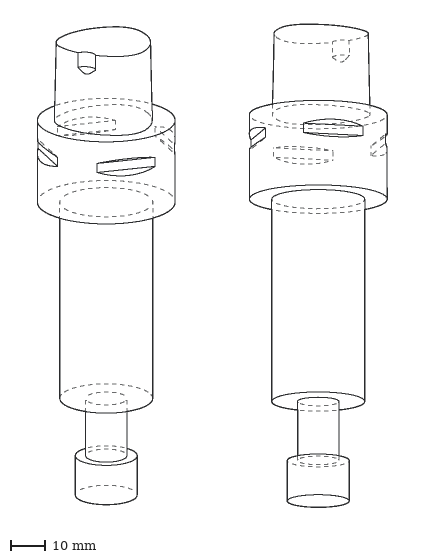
import cadquery as cq
import math

head_diameter, head_length = 18.0, 12.0
neck_diameter, neck_length = 12.0, 17.5
body_diameter, body_length = 27.0, 60.0
collar_diameter, collar_length = 40.0, 25.0

total_length = 138.5
lobe_centre_radius = 6.3
lobe_radius = 8.7
shank_base_height = 2.5
shank_taper = 1.25

notch_diameter = 6.5
notch_offset = 14.3
notch_depth = 4.5
notch_tip_depth = 2.6

slot_floor_distance = 17.94
slot_floor_height = 2.8
slot_wall_angle = 30.0
slot_drop = 8.0

neck_z = head_length
body_z = neck_z + neck_length
collar_z = body_z + body_length
collar_top = collar_z + collar_length


def cylinder(diameter, length, z):
    return cq.Workplane("XY").workplane(offset=z).circle(diameter / 2).extrude(length)


def polar(radius, angle):
    return radius * math.cos(math.radians(angle)), radius * math.sin(math.radians(angle))


def lobe_point(lobe_angle, normal_angle):
    """Point on a lobe's arc where the outward normal has the given angle."""
    centre_x, centre_y = polar(lobe_centre_radius, lobe_angle)
    offset_x, offset_y = polar(lobe_radius, normal_angle)
    return centre_x + offset_x, centre_y + offset_y


def shank_outline(z):
    """Three lobe arcs joined tangentially by three flatter flank arcs."""
    half_lobe, lobe_step = 30, 120
    flank_middle_radius = (math.sqrt(3) - 1) * lobe_centre_radius + lobe_radius
    first_lobe = 90
    outline = cq.Workplane("XY").workplane(offset=z).moveTo(*lobe_point(first_lobe, first_lobe - half_lobe))
    for index in range(3):
        lobe = first_lobe + index * lobe_step
        next_lobe = lobe + lobe_step
        outline = outline.threePointArc(lobe_point(lobe, lobe), lobe_point(lobe, lobe + half_lobe))
        outline = outline.threePointArc(
            polar(flank_middle_radius, lobe + lobe_step / 2),
            lobe_point(next_lobe, next_lobe - half_lobe),
        )
    return outline.close()


def shank():
    taper_z = collar_top + shank_base_height
    base = shank_outline(collar_top).extrude(shank_base_height)
    return base.union(shank_outline(taper_z).extrude(total_length - taper_z, taper=shank_taper))


def notch():
    """Drill-shaped cutter with a conical tip, on the -Y flank."""
    shoulder_z = total_length - notch_depth
    return (
        cq.Workplane("XZ")
        .moveTo(0, total_length)
        .lineTo(notch_diameter / 2, total_length)
        .lineTo(notch_diameter / 2, shoulder_z)
        .lineTo(0, shoulder_z - notch_tip_depth)
        .close()
        .revolve(360, (0, 0), (0, 1))
        .translate((0, -notch_offset, 0))
    )


def gripper_slot(angle):
    """Flat-floored slot with flaring walls, crossing the collar's rim."""
    outer = collar_diameter / 2 + 1.4
    floor_half = slot_floor_height / 2
    flare = (outer - slot_floor_distance) * math.tan(math.radians(slot_wall_angle))
    return (
        cq.Workplane("XZ")
        .polyline([
            (slot_floor_distance, -floor_half),
            (outer, -floor_half - flare),
            (outer, floor_half + flare),
            (slot_floor_distance, floor_half),
        ])
        .close()
        .extrude(collar_diameter / 2, both=True)
        .translate((0, 0, collar_top - slot_drop))
        .rotate((0, 0, 0), (0, 0, 1), angle)
    )


result = (
    cylinder(head_diameter, head_length, 0)
    .union(cylinder(neck_diameter, neck_length, neck_z))
    .union(cylinder(body_diameter, body_length, body_z))
    .union(cylinder(collar_diameter, collar_length, collar_z))
    .union(shank())
    .cut(notch())
)
for slot_angle in (45, 135, 225, 315):
    result = result.cut(gripper_slot(slot_angle))